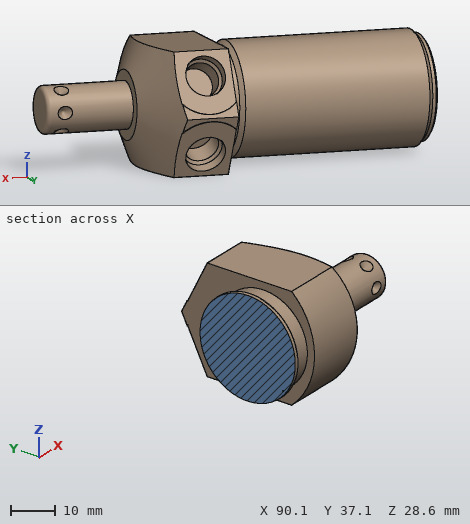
import cadquery as cq
import math

OVERLAP = 1.0

BODY_RADIUS = 13.35
NECK_RADIUS = 12.3
END_FACE_RADIUS = 11.6
END_CHAMFER_LENGTH = 0.54
COLLAR_END_X = 1.34
BODY_TAPER_LENGTH = BODY_RADIUS - NECK_RADIUS
BODY_END_X = 46.0

HEAD_START_X = 50.9
HEAD_END_X = 69.9
HEAD_HEIGHT = 28.57
HEAD_TIP_Y = 22.75
HEAD_BACK_Y = -14.31
HEAD_BACK_CORNER_Y = -7.93
PORT_ANGLE = 26.0
CONE_END_RADIUS = 8.0
CONE_ANGLE = 25.0

PORT_X = 57.2
SPOTFACE_RADIUS = 9.0
SPOTFACE_DEPTH = 0.15
PORT_RADIUS = 4.65
PORT_DEPTH = 2.6
PORT_BORE_RADIUS = 4.0
PORT_BORE_DEPTH = 8.0

ROD_RADIUS = 5.5
ROD_END_X = 90.12
ROD_END_FILLET = 1.0
DIMPLE_X = 86.0
DIMPLE_RADIUS = 1.7
DIMPLE_COUNT = 6


def revolve_about_x(profile):
    """Revolve a closed (x, radius) outline about the X axis."""
    return cq.Workplane("XY").polyline(profile).close().revolve(360, (0, 0, 0), (1, 0, 0))


def make_body():
    taper_start_x = COLLAR_END_X + BODY_TAPER_LENGTH
    neck_start_x = BODY_END_X + BODY_TAPER_LENGTH
    return revolve_about_x([
        (0, 0),
        (0, END_FACE_RADIUS),
        (END_CHAMFER_LENGTH, NECK_RADIUS),
        (COLLAR_END_X, NECK_RADIUS),
        (taper_start_x, BODY_RADIUS),
        (BODY_END_X, BODY_RADIUS),
        (neck_start_x, NECK_RADIUS),
        (HEAD_START_X + OVERLAP, NECK_RADIUS),
        (HEAD_START_X + OVERLAP, 0),
    ])


def make_head():
    half_height = HEAD_HEIGHT / 2
    shoulder_y = HEAD_TIP_Y - half_height * math.tan(math.radians(PORT_ANGLE))
    block = (
        cq.Workplane("YZ", origin=(HEAD_START_X, 0, 0))
        .moveTo(HEAD_TIP_Y, 0)
        .lineTo(shoulder_y, half_height)
        .lineTo(HEAD_BACK_CORNER_Y, half_height)
        .threePointArc((HEAD_BACK_Y, 0), (HEAD_BACK_CORNER_Y, -half_height))
        .lineTo(shoulder_y, -half_height)
        .close()
        .extrude(HEAD_END_X - HEAD_START_X)
    )
    blank_radius = HEAD_TIP_Y + OVERLAP
    cone_length = (blank_radius - CONE_END_RADIUS) * math.tan(math.radians(CONE_ANGLE))
    blank = revolve_about_x([
        (HEAD_START_X, 0),
        (HEAD_START_X, blank_radius),
        (HEAD_END_X - cone_length, blank_radius),
        (HEAD_END_X, CONE_END_RADIUS),
        (HEAD_END_X, 0),
    ])
    return block.intersect(blank)


def make_port_cutter(side):
    """Spotfaced, stepped port; side is +1 for the upper face and -1 for the lower."""
    angle = math.radians(PORT_ANGLE)
    face_distance = HEAD_TIP_Y * math.cos(angle)
    axis_y = math.cos(angle)
    axis_z = side * math.sin(angle)
    mouth = cq.Plane(
        origin=(PORT_X, face_distance * axis_y, face_distance * axis_z),
        xDir=(1, 0, 0),
        normal=(0, axis_y, axis_z),
    )
    step = PORT_RADIUS - PORT_BORE_RADIUS
    return (
        cq.Workplane(mouth.rotated((90, 0, 0)))
        .polyline([
            (0, OVERLAP),
            (SPOTFACE_RADIUS, OVERLAP),
            (SPOTFACE_RADIUS, -SPOTFACE_DEPTH),
            (PORT_RADIUS, -SPOTFACE_DEPTH),
            (PORT_RADIUS, -PORT_DEPTH),
            (PORT_BORE_RADIUS, -PORT_DEPTH - step),
            (PORT_BORE_RADIUS, -PORT_BORE_DEPTH),
            (0, -PORT_BORE_DEPTH),
        ])
        .close()
        .revolve(360, (0, 0, 0), (0, 1, 0))
    )


def make_rod():
    start_x = HEAD_END_X - OVERLAP
    return (
        cq.Workplane("YZ", origin=(start_x, 0, 0))
        .circle(ROD_RADIUS)
        .extrude(ROD_END_X - start_x)
        .faces(">X")
        .edges()
        .fillet(ROD_END_FILLET)
    )


def make_dimple_cutter(angle):
    """90 degree cone pointing at the rod axis, turned about X from the +Y direction."""
    cone = cq.Solid.makeCone(
        0,
        DIMPLE_RADIUS + OVERLAP,
        DIMPLE_RADIUS + OVERLAP,
        pnt=cq.Vector(DIMPLE_X, ROD_RADIUS - DIMPLE_RADIUS, 0),
        dir=cq.Vector(0, 1, 0),
    )
    return cq.Workplane(cone).rotate((0, 0, 0), (1, 0, 0), angle)


head = make_head()
for port_side in (1, -1):
    head = head.cut(make_port_cutter(port_side))

rod = make_rod()
for index in range(DIMPLE_COUNT):
    rod = rod.cut(make_dimple_cutter(index * 360 / DIMPLE_COUNT))

result = make_body().union(head).union(rod)